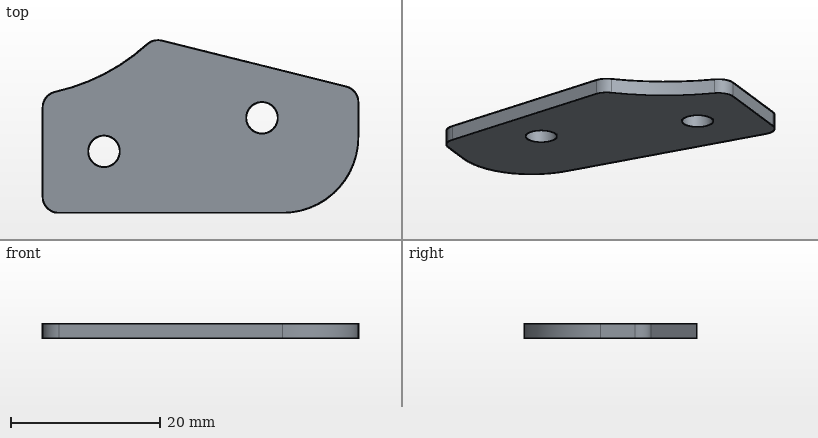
import cadquery as cq
import math

length = 42.4
width = 23.21
thickness = 2.0
corner_radius = 2.2
nose_radius = 10.2
hollow_radius = 27.0
left_corner_height = 14.13
right_corner_height = 14.85
peak_position = 15.5
hole_diameter = 4.2
hole_centers = [(8.25, 8.27), (29.45, 12.77)]

lower_left = (corner_radius, corner_radius)
upper_left = (corner_radius, left_corner_height)
peak = (peak_position, width - corner_radius)
upper_right = (length - corner_radius, right_corner_height)
nose = (length - nose_radius, nose_radius)


def point_on_circle(center, radius, angle):
    return (center[0] + radius * math.cos(angle), center[1] + radius * math.sin(angle))


def direction(start, end):
    return math.atan2(end[1] - start[1], end[0] - start[0])


def hollow_center():
    """Centre of the circle that touches the upper-left and peak roundings from outside."""
    half_chord = math.dist(upper_left, peak) / 2
    center_distance = hollow_radius + corner_radius
    rise = math.sqrt(center_distance**2 - half_chord**2)
    middle = ((upper_left[0] + peak[0]) / 2, (upper_left[1] + peak[1]) / 2)
    return point_on_circle(middle, rise, direction(upper_left, peak) + math.pi / 2)


def add_arc(outline, center, radius, start_angle, end_angle):
    """Continue the outline along a circle, from its current point at start_angle to end_angle."""
    middle = point_on_circle(center, radius, (start_angle + end_angle) / 2)
    end = point_on_circle(center, radius, end_angle)
    return outline.threePointArc(middle, end)


def make_plate():
    east = 0.0
    west = math.pi
    south = -math.pi / 2

    hollow = hollow_center()
    slope_normal = direction(peak, upper_right) + math.pi / 2
    peak_touch = direction(peak, hollow)
    upper_left_touch = direction(upper_left, hollow)

    outline = cq.Workplane("XY").moveTo(*point_on_circle(lower_left, corner_radius, south))
    outline = outline.lineTo(*point_on_circle(nose, nose_radius, south))
    outline = add_arc(outline, nose, nose_radius, south, east)
    outline = outline.lineTo(*point_on_circle(upper_right, corner_radius, east))
    outline = add_arc(outline, upper_right, corner_radius, east, slope_normal)
    outline = outline.lineTo(*point_on_circle(peak, corner_radius, slope_normal))
    outline = add_arc(outline, peak, corner_radius, slope_normal, peak_touch)
    outline = add_arc(outline, hollow, hollow_radius, peak_touch - math.pi, upper_left_touch - math.pi)
    outline = add_arc(outline, upper_left, corner_radius, upper_left_touch, west)
    outline = outline.lineTo(*point_on_circle(lower_left, corner_radius, west))
    outline = add_arc(outline, lower_left, corner_radius, west, south + 2 * math.pi)
    return outline.close().extrude(thickness)


def make_holes():
    return cq.Workplane("XY").pushPoints(hole_centers).circle(hole_diameter / 2).extrude(thickness)


result = make_plate().cut(make_holes())